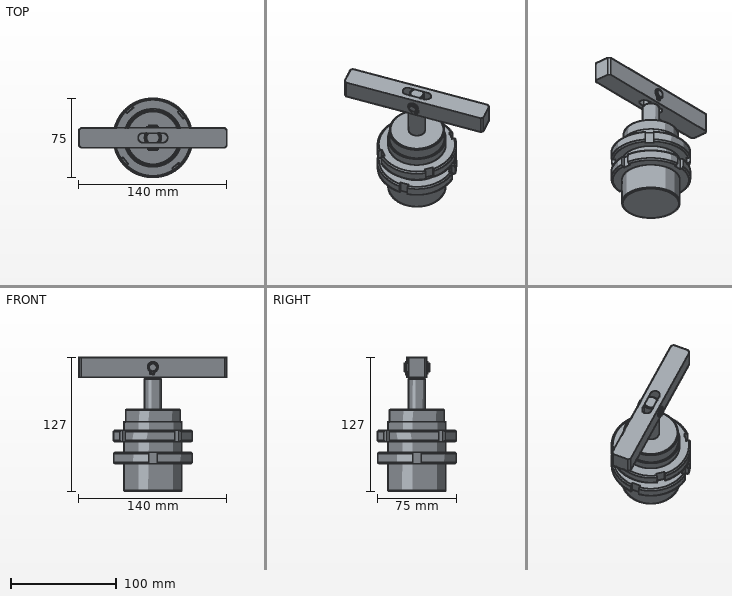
import cadquery as cq

body_diameter = 55.0
body_shoulder_z = 66.0
cap_diameter = 52.0
body_top_z = 77.8
body_chamfer = 1.0

nut_diameter = 75.0
nut_height = 11.0
nut_chamfer = 1.5
lower_nut_z = 26.0
upper_nut_z = 46.9
upper_nut_turn = 39.4
nut_notch_count = 4
nut_notch_width = 8.0
nut_notch_depth = 3.8

bar_length = 140
bar_side = 19.0
bar_top_z = 127.0
bar_edge_chamfer = 2.0
slot_length = 28
slot_width = 9.0

rod_diameter = 16.0
rod_chamfer = 1.0
rod_gap = 0.7
tongue_diameter = 2 * (rod_diameter / 2 - rod_chamfer)

pin_diameter = 8.0
pin_length = 24.0
pin_chamfer = 0.4
groove_diameter = 7.5
groove_width = 1.1
ring_thickness = 0.8
ring_diameter = 9.8
ring_offset = 0.4
lug_reach = 6.9
lug_width = 4.5
lug_rounding = 1.3
ring_gap = 1.3
ring_gap_eye_diameter = 2.4
ring_gap_eye_offset = 5.2
front_ring_turn = 8
back_ring_turn = 40

bar_bottom_z = bar_top_z - bar_side
pin_z = bar_top_z - bar_side / 2
rod_shoulder_z = bar_bottom_z - rod_gap
groove_inner_y = bar_side / 2
groove_outer_y = groove_inner_y + groove_width


def cylinder_y(diameter, start_y, length):
    """Cylinder on the pivot axis, running from start_y toward +Y."""
    plane = cq.Plane(origin=(0, start_y, pin_z), xDir=(1, 0, 0), normal=(0, 1, 0))
    return cq.Workplane(plane).circle(diameter / 2).extrude(length)


def make_body():
    """Solid cylinder body with a slightly narrower cap."""
    barrel = cq.Workplane().circle(body_diameter / 2).extrude(body_shoulder_z)
    barrel = barrel.faces("<Z").chamfer(body_chamfer)
    cap = cq.Workplane().circle(cap_diameter / 2).extrude(body_top_z)
    cap = cap.faces(">Z").chamfer(body_chamfer)
    cap = cap.intersect(
        cq.Workplane().workplane(offset=body_shoulder_z).circle(body_diameter).extrude(body_top_z)
    )
    return barrel.union(cap)


def make_nut(base_z, turn):
    """Ring nut with spanner notches, fitted around the body."""
    nut = cq.Workplane().circle(nut_diameter / 2).extrude(nut_height)
    nut = nut.faces("<Z or >Z").chamfer(nut_chamfer)
    nut = nut.cut(cq.Workplane().circle(body_diameter / 2).extrude(nut_height))
    notches = (
        cq.Workplane()
        .polarArray(nut_diameter / 2, turn, 360, nut_notch_count)
        .rect(2 * nut_notch_depth, nut_notch_width)
        .extrude(nut_height)
    )
    return nut.cut(notches).translate((0, 0, base_z))


def make_bar():
    """Square lever bar with a central vertical slot and a pivot hole."""
    bar = cq.Workplane().box(bar_length, bar_side, bar_side).edges("|Z").chamfer(bar_edge_chamfer)
    slot = cq.Workplane().slot2D(slot_length, slot_width).extrude(bar_side, both=True)
    bar = bar.cut(slot).translate((0, 0, pin_z))
    return bar.cut(cylinder_y(pin_diameter, -bar_side, 2 * bar_side))


def make_rod():
    """Round rod standing on the body, with a tongue that fills the bar slot up to the bar top."""
    shaft = cq.Workplane().workplane(offset=body_top_z).circle(rod_diameter / 2)
    shaft = shaft.extrude(rod_shoulder_z - body_top_z).faces(">Z").chamfer(rod_chamfer)
    tongue = cq.Workplane().workplane(offset=rod_shoulder_z).circle(tongue_diameter / 2)
    tongue = tongue.extrude(bar_top_z - rod_shoulder_z).faces(">Z").chamfer(rod_chamfer)
    flat_sides = cq.Workplane().rect(rod_diameter, slot_width).extrude(bar_top_z)
    rod = shaft.union(tongue.intersect(flat_sides))
    return rod.cut(cylinder_y(pin_diameter, -bar_side, 2 * bar_side))


def make_pin():
    """Pivot pin with a retaining-ring groove just outside each side of the bar."""
    pin = cylinder_y(pin_diameter, -pin_length / 2, pin_length)
    pin = pin.faces("<Y or >Y").chamfer(pin_chamfer)
    for start_y in (-groove_outer_y, groove_inner_y):
        collar = cylinder_y(pin_diameter, start_y, groove_width)
        pin = pin.cut(collar.cut(cylinder_y(groove_diameter, start_y, groove_width)))
    return pin


def make_ring(start_y, turn):
    """Open retaining ring, thickest opposite its two lugs, which hang down, turned toward -X."""
    plane = cq.Plane(origin=(0, start_y, pin_z), xDir=(-1, 0, 0), normal=(0, 1, 0))
    lugs = cq.Workplane(plane).center(0, -lug_reach / 2).rect(lug_width, lug_reach).extrude(ring_thickness)
    lugs = lugs.faces("<Z").edges("|Y").fillet(lug_rounding)
    ring = cylinder_y(ring_diameter, start_y, ring_thickness).translate((0, 0, ring_offset)).union(lugs)
    ring = ring.cut(cylinder_y(groove_diameter, start_y, ring_thickness))
    gap = cq.Workplane(plane).center(0, -lug_reach / 2).rect(ring_gap, lug_reach).extrude(ring_thickness)
    eye = cq.Workplane(plane).center(0, -ring_gap_eye_offset).circle(ring_gap_eye_diameter / 2)
    ring = ring.cut(gap).cut(eye.extrude(ring_thickness))
    return ring.rotate((0, 0, pin_z), (0, 1, pin_z), turn)


body = make_body()
nuts = [make_nut(z, turn) for z, turn in ((lower_nut_z, 0), (upper_nut_z, upper_nut_turn))]
bar = make_bar()
rod = make_rod()
pin = make_pin()
ring_places = ((-groove_outer_y, front_ring_turn), (groove_inner_y, back_ring_turn))
rings = [make_ring(start_y, turn) for start_y, turn in ring_places]

result = cq.Compound.makeCompound(
    [
        body.val(),
        *[nut.val() for nut in nuts],
        bar.val(),
        rod.val(),
        pin.val(),
        *[ring.val() for ring in rings],
    ]
)